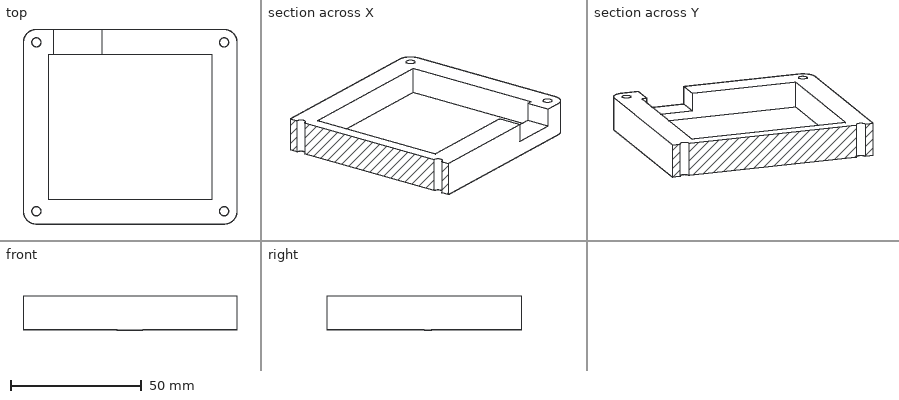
import cadquery as cq

length = 81.7
width = 74.5
overall_height = 13.2
pad_height = 0.25
body_height = overall_height - pad_height
corner_radius = 5.0

rim = 9.55
floor_thickness = 3.0
pocket_length = length - 2 * rim
pocket_width = width - 2 * rim

screw_hole_diameter = 3.4

notch_left = -29.25
notch_length = 18.5
notch_floor = 6.0

pad_length = 9.7
pad_width = 2.7
pad_x = -0.2
pad_y = 1.4


def make_body():
    return (
        cq.Workplane("XY")
        .box(length, width, body_height, centered=(True, True, False))
        .edges("|Z")
        .fillet(corner_radius)
    )


def make_pocket():
    return (
        cq.Workplane("XY", origin=(0, 0, floor_thickness))
        .rect(pocket_length, pocket_width)
        .extrude(body_height - floor_thickness)
    )


def make_screw_holes():
    return (
        cq.Workplane("XY")
        .rect(length - 2 * corner_radius, width - 2 * corner_radius, forConstruction=True)
        .vertices()
        .circle(screw_hole_diameter / 2)
        .extrude(body_height)
    )


def make_notch():
    return cq.Workplane("XY", origin=(notch_left, pocket_width / 2, notch_floor)).box(
        notch_length, rim, body_height - notch_floor, centered=False
    )


def make_pad():
    return cq.Workplane("XY", origin=(pad_x, pad_y, -pad_height)).box(
        pad_length, pad_width, 2 * pad_height, centered=(True, True, False)
    )


result = make_body().cut(make_pocket()).cut(make_screw_holes()).cut(make_notch()).union(make_pad())